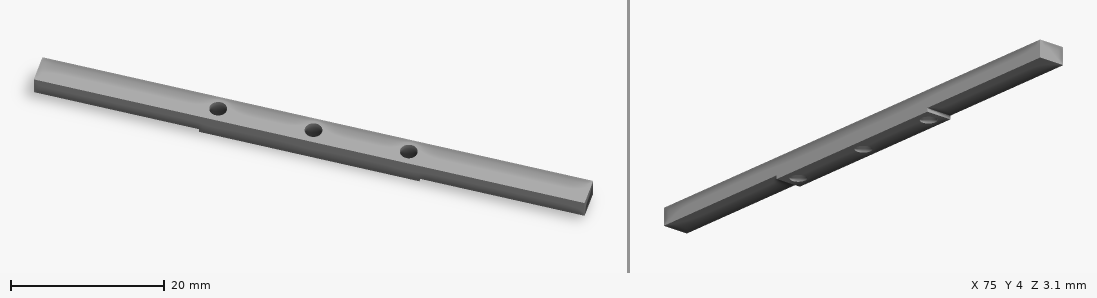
import cadquery as cq

length = 75.0
width = 4.0
total_height = 3.1

pad_length = 30.0
pad_depth = 0.5
bar_height = total_height - pad_depth

hole_diameter = 2.3
hole_spacing = 13.0
hole_positions = [(-hole_spacing, 0), (0, 0), (hole_spacing, 0)]

bar = cq.Workplane("XY").box(length, width, bar_height, centered=(True, True, False))
pad = (
    cq.Workplane("XY")
    .workplane(offset=-pad_depth)
    .box(pad_length, width, pad_depth, centered=(True, True, False))
)

result = (
    bar.union(pad)
    .faces(">Z")
    .workplane(origin=(0, 0, bar_height))
    .pushPoints(hole_positions)
    .hole(hole_diameter)
)